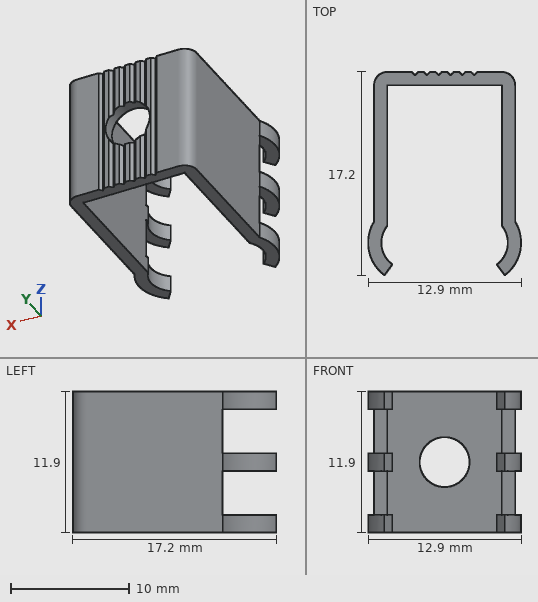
import cadquery as cq
import math

HEIGHT = 11.94
BODY_WIDTH = 11.94
LENGTH = 17.2
THICKNESS = 1.14
CORNER_RADIUS = THICKNESS

OVERALL_WIDTH = 12.95
FINGER_RADIUS = 3.43
TIP_ANGLE = math.radians(53.6)
FINGER_HEIGHT = 1.52
FINGER_COUNT = 3

HOLE_DIAMETER = 4.2
GROOVE_COUNT = 6
GROOVE_PITCH = 1.0
GROOVE_WIDTH = 0.56
GROOVE_DEPTH = GROOVE_WIDTH / 2

half_width = BODY_WIDTH / 2
wall_inner_x = -half_width + THICKNESS
bottom = -HEIGHT / 2
inner_radius = FINGER_RADIUS - THICKNESS
curl_x = -OVERALL_WIDTH / 2 + FINGER_RADIUS
curl_y = -LENGTH + FINGER_RADIUS * math.sin(TIP_ANGLE)


def curl_point(radius, angle):
    """Point on the -X curl, with the angle measured from -X towards -Y."""
    return (curl_x - radius * math.cos(angle), curl_y - radius * math.sin(angle))


def root_angle(radius, wall_x):
    """Angle at which a curl circle meets the wall face at wall_x."""
    return -math.acos((curl_x - wall_x) / radius)


outer_root_angle = root_angle(FINGER_RADIUS, -half_width)
inner_root_angle = root_angle(inner_radius, wall_inner_x)
outer_root = curl_point(FINGER_RADIUS, outer_root_angle)
inner_root = curl_point(inner_radius, inner_root_angle)
wall_inner_end = (wall_inner_x, outer_root[1])


def make_wall():
    """The -X half of the channel, its wall cut square where the outer curl starts."""
    return (
        cq.Workplane("XY", origin=(0, 0, bottom))
        .moveTo(0, 0)
        .lineTo(-half_width + CORNER_RADIUS, 0)
        .radiusArc((-half_width, -CORNER_RADIUS), -CORNER_RADIUS)
        .lineTo(*outer_root)
        .lineTo(*wall_inner_end)
        .lineTo(wall_inner_x, -THICKNESS)
        .lineTo(0, -THICKNESS)
        .close()
        .extrude(HEIGHT)
    )


def make_finger(z):
    """One curled finger on the -X wall, with its lower face at height z."""
    outer_middle = curl_point(FINGER_RADIUS, (outer_root_angle + TIP_ANGLE) / 2)
    inner_middle = curl_point(inner_radius, (inner_root_angle + TIP_ANGLE) / 2)
    return (
        cq.Workplane("XY", origin=(0, 0, z))
        .moveTo(*outer_root)
        .threePointArc(outer_middle, curl_point(FINGER_RADIUS, TIP_ANGLE))
        .lineTo(*curl_point(inner_radius, TIP_ANGLE))
        .threePointArc(inner_middle, inner_root)
        .lineTo(*wall_inner_end)
        .close()
        .extrude(FINGER_HEIGHT)
    )


def make_half():
    """The -X half of the clip, with its fingers evenly spread over the height."""
    half = make_wall()
    finger_pitch = (HEIGHT - FINGER_HEIGHT) / (FINGER_COUNT - 1)
    for index in range(FINGER_COUNT):
        half = half.union(make_finger(bottom + index * finger_pitch))
    return half


def make_hole():
    """Round hole through the back wall."""
    return cq.Workplane("XZ").circle(HOLE_DIAMETER / 2).extrude(THICKNESS)


def make_groove(x):
    """V-groove along the full height of the back face."""
    return (
        cq.Workplane("XY", origin=(x, 0, bottom))
        .moveTo(-GROOVE_WIDTH / 2, 0)
        .lineTo(0, -GROOVE_DEPTH)
        .lineTo(GROOVE_WIDTH / 2, 0)
        .close()
        .extrude(HEIGHT)
    )


left_half = make_half()
clip = left_half.union(left_half.mirror("YZ")).cut(make_hole())
for groove_index in range(GROOVE_COUNT):
    groove_x = (groove_index - (GROOVE_COUNT - 1) / 2) * GROOVE_PITCH
    clip = clip.cut(make_groove(groove_x))

result = clip.clean()